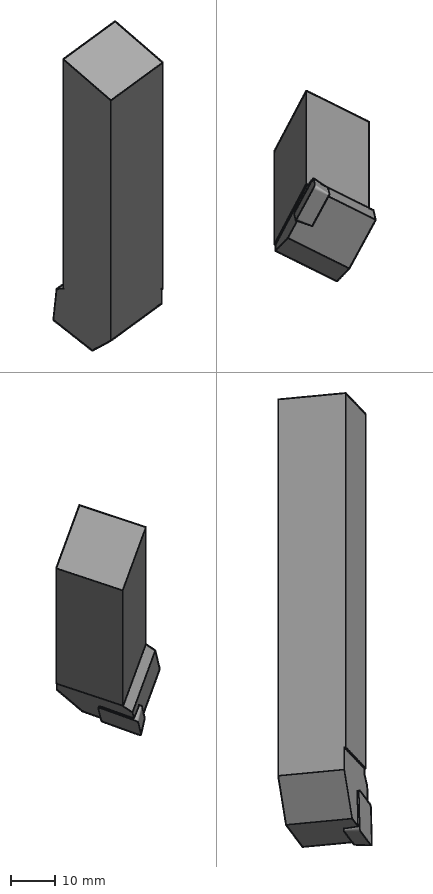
import cadquery as cq
import math

shank_size = 15.9
total_height = 101.4

edge_angle = 5.0
head_corner_x = -3.3
head_corner_z = 1.0
shoulder_top_z = 15.8
shoulder_bottom_z = 13.6
heel_x = 9.7
heel_top_z = 11.9
head_relief_depth = 0.3
head_relief_top_z = 17.1

overall_width = 20.4
overall_depth = 16.0
insert_side = 9.6
insert_thickness = 4.0
insert_clearance = 7.0
nose_radius = 0.8

edge_slope = math.tan(math.radians(edge_angle))
tip_x = shank_size - overall_width


def make_holder_blank():
    """Bar and cranked head as one prism, with the back of the head relieved."""
    shoulder_x = head_corner_x + (shoulder_bottom_z - head_corner_z) * edge_slope
    heel_z = head_corner_z + (heel_x - head_corner_x) * edge_slope
    blank = (
        cq.Workplane("XZ")
        .moveTo(0, total_height)
        .lineTo(shank_size, total_height)
        .lineTo(shank_size, heel_top_z)
        .lineTo(heel_x, heel_z)
        .lineTo(head_corner_x, head_corner_z)
        .lineTo(shoulder_x, shoulder_bottom_z)
        .lineTo(0, shoulder_top_z)
        .close()
        .extrude(-shank_size)
    )
    relief = cq.Workplane("XY").box(
        2 * overall_width, head_relief_depth, head_relief_top_z, centered=(True, False, False)
    ).translate((0, shank_size - head_relief_depth, 0))
    return blank.cut(relief)


def make_insert():
    """Rhombus with rounded corners that narrows toward -Y by the clearance angle."""
    along = insert_side * math.cos(math.radians(edge_angle))
    across = insert_side * math.sin(math.radians(edge_angle))
    nose_half_angle = math.radians(90 - 2 * edge_angle) / 2
    nose_bisector_angle = math.radians(90) / 2
    center_distance = nose_radius / math.sin(nose_half_angle)
    center_offset = center_distance * math.cos(nose_bisector_angle)
    nose_setback = center_offset - nose_radius
    corner_x = tip_x - nose_setback
    corner_z = -nose_setback
    rhombus = [
        (corner_x, corner_z),
        (corner_x + along, corner_z + across),
        (corner_x + along + across, corner_z + along + across),
        (corner_x + across, corner_z + along),
        (corner_x, corner_z),
    ]
    face = cq.Sketch().polygon(rhombus).vertices().fillet(nose_radius)
    return (
        cq.Workplane("XZ", origin=(0, overall_depth, 0))
        .placeSketch(face)
        .extrude(insert_thickness, taper=insert_clearance)
    )


insert = make_insert()
holder = make_holder_blank().cut(insert)

result = cq.Compound.makeCompound([holder.solids().val(), insert.solids().val()])